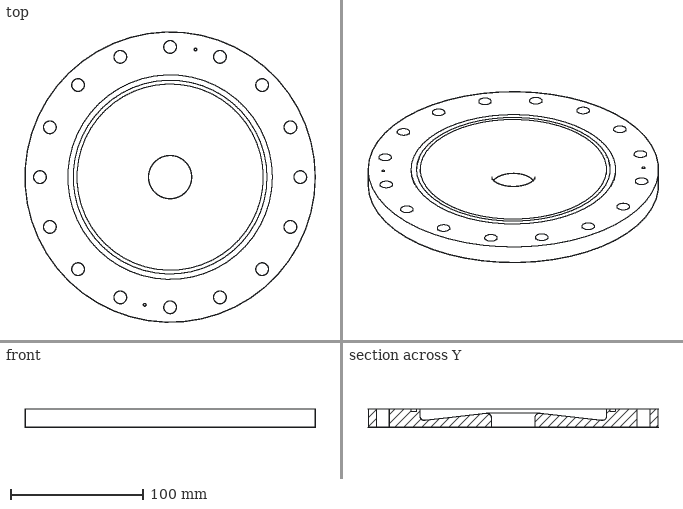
import cadquery as cq
import math

flange_diameter = 220.0
thickness = 14.0

pocket_diameter = 141.0
pocket_wall_depth = 5.7
floor_angle = math.radians(6.5)
pocket_corner_radius = 2.9

bore_diameter = 32.5
lip_radius = 4.0

groove_outer_diameter = 154.9
groove_floor_inner_diameter = 147.6
groove_depth = 2.0
groove_corner_radius = 0.5

bolt_circle_radius = 98.5
bolt_count = 16
bolt_hole_diameter = 9.5
small_hole_diameter = 2.0
bolt_pitch = 360 / bolt_count
first_small_hole_angle = 90 - bolt_pitch / 2


def arc_point(center, radius, angle):
    return (center[0] + radius * math.cos(angle), center[1] + radius * math.sin(angle))


def make_body():
    """Revolve the disc section with its pocket, conical floor and rounded bore lip."""
    flange_radius = flange_diameter / 2
    pocket_radius = pocket_diameter / 2
    bore_radius = bore_diameter / 2

    corner_center = (pocket_radius - pocket_corner_radius, thickness - pocket_wall_depth)
    floor_normal = math.pi / 2 - floor_angle
    corner_end = arc_point(corner_center, pocket_corner_radius, floor_normal - math.pi)
    corner_middle = arc_point(corner_center, pocket_corner_radius, (floor_normal - math.pi) / 2)

    lip_center_x = bore_radius + lip_radius
    lip_start_x = lip_center_x + lip_radius * math.cos(floor_normal)
    lip_start_z = corner_end[1] + (corner_end[0] - lip_start_x) * math.tan(floor_angle)
    lip_center = (lip_center_x, lip_start_z - lip_radius * math.sin(floor_normal))
    lip_middle = arc_point(lip_center, lip_radius, (floor_normal + math.pi) / 2)

    return (
        cq.Workplane("XZ")
        .moveTo(bore_radius, 0)
        .lineTo(flange_radius, 0)
        .lineTo(flange_radius, thickness)
        .lineTo(pocket_radius, thickness)
        .lineTo(pocket_radius, corner_center[1])
        .threePointArc(corner_middle, corner_end)
        .lineTo(lip_start_x, lip_start_z)
        .threePointArc(lip_middle, (bore_radius, lip_center[1]))
        .close()
        .revolve(360, (0, 0, 0), (0, 1, 0))
    )


def make_groove():
    return (
        cq.Workplane("XY", origin=(0, 0, thickness))
        .circle(groove_outer_diameter / 2)
        .circle(groove_floor_inner_diameter / 2 - groove_corner_radius)
        .extrude(-groove_depth)
        .faces("<Z")
        .edges()
        .fillet(groove_corner_radius)
    )


def make_holes(count, start_angle, diameter):
    """Evenly spaced holes on the bolt circle, through the full thickness."""
    return (
        cq.Workplane("XY", origin=(0, 0, thickness))
        .polarArray(bolt_circle_radius, start_angle, 360, count)
        .circle(diameter / 2)
        .extrude(-thickness)
    )


bolt_holes = make_holes(bolt_count, 0, bolt_hole_diameter)
small_holes = make_holes(2, first_small_hole_angle, small_hole_diameter)
result = make_body().cut(make_groove()).cut(bolt_holes).cut(small_holes)